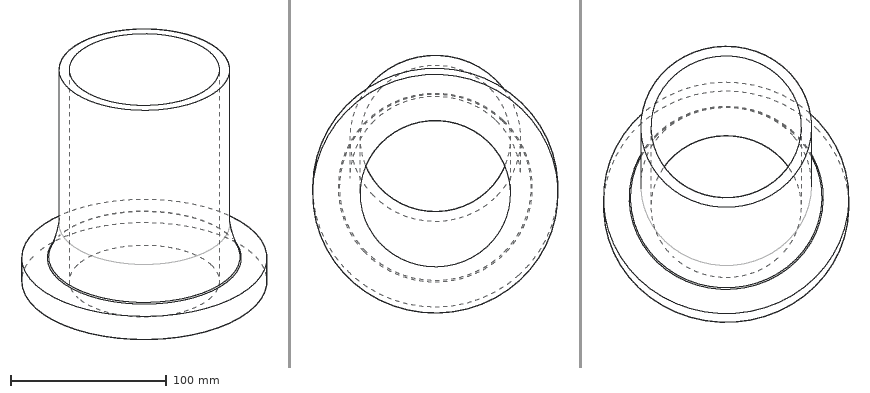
import cadquery as cq

flange_diameter = 158.0
flange_thickness = 17.0
total_height = 155.0
pipe_diameter = 110.0
bore_diameter = 96.7
neck_diameter = 125.0
neck_top_diameter = 123.2
neck_step_height = 0.8
neck_top = 42.0
neck_arc_radius = 94.8

flange_radius = flange_diameter / 2
pipe_radius = pipe_diameter / 2
bore_radius = bore_diameter / 2
neck_radius = neck_diameter / 2
flare_radius = neck_top_diameter / 2
flare_base = flange_thickness + neck_step_height

profile = (
    cq.Workplane("XZ")
    .moveTo(bore_radius, 0)
    .lineTo(flange_radius, 0)
    .lineTo(flange_radius, flange_thickness)
    .lineTo(neck_radius, flange_thickness)
    .lineTo(flare_radius, flare_base)
    .radiusArc((pipe_radius, neck_top), neck_arc_radius)
    .lineTo(pipe_radius, total_height)
    .lineTo(bore_radius, total_height)
    .close()
)

result = profile.revolve(360, (0, 0, 0), (0, 1, 0))